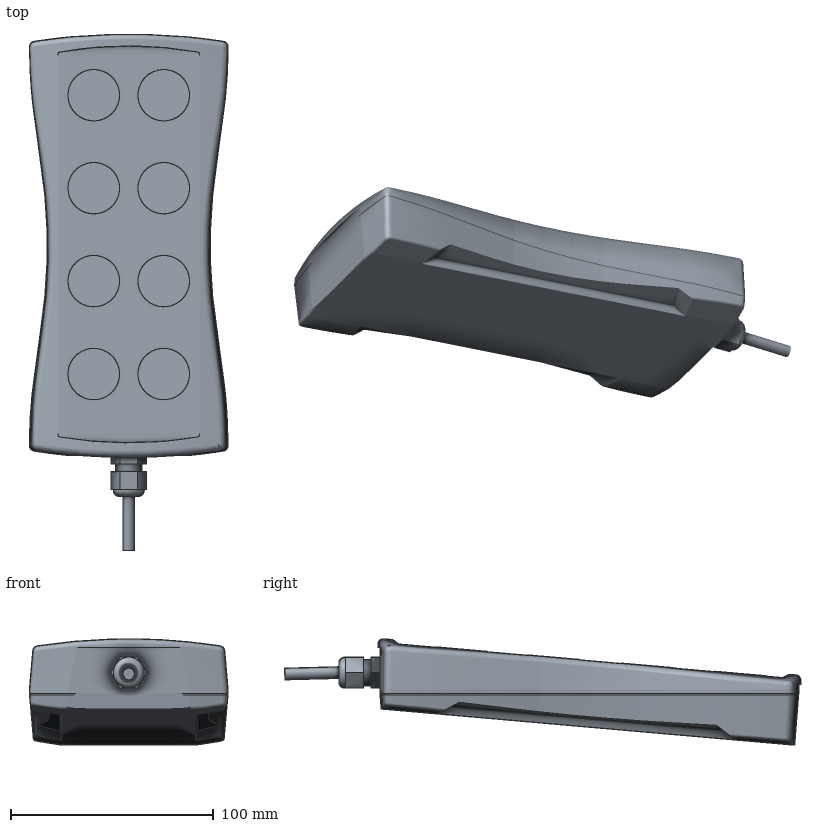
import cadquery as cq
import math

HALF_WIDTH = 49.01
WAIST_HALF_WIDTH = 40.2
WAIST_ARC_HALF_LENGTH = 25.0
WAIST_ARC_RISE = 1.2
FLARE_END_Y = 97.0
REACH = 130.0
END_RADIUS = 300.0
FRONT_APEX_Y = -104.8
REAR_APEX_Y = 104.55
CORNER_RADIUS = 3.0

SIDE_DRAFT = 5.0
UPPER_END_DRAFT = 1.3
LOWER_END_DRAFT = 4.5
BAND_HEIGHT = 2.0
SHELL_REACH = 40.0
TILT = 5.0
CROWN_HEIGHT = 18.05
CROWN_RADIUS = 320.0
FLOOR_DEPTH = 16.6
FLOOR_HALF_WIDTH = 34.0
FLOOR_EDGE_RISE = 2.2
CROWN_EDGE_RADIUS = 2.8
FLOOR_EDGE_RADIUS = 1.4
FACES_DOWN = -0.9
JOINT_GAP = 0.8
JOINT_DEPTH = 0.4

FRONT_FLAT_Y = -103.25
FRONT_FLAT_TOP = 22.6
REAR_FLAT_Y = 103.3
REAR_FLAT_TOP = 4.5

PANEL_HALF_WIDTH = 35.0
PANEL_HALF_LENGTH = 95.1
PANEL_BOW = 3.1
PANEL_CENTRE_Y = -0.7
PANEL_CORNER_RADIUS = 1.5
BUTTON_DIAMETER = 25.4
BUTTON_HEIGHT = 0.2
BUTTON_COLUMNS = 2
BUTTON_ROWS = 4
BUTTON_PITCH_X = 34.5
BUTTON_PITCH_Y = 46.0
BUTTON_CENTRE_Y = 4.2

RECESS_TOP_HALF_LENGTH = 62.6
RECESS_FOOT_HALF_LENGTH = 73.5
RECESS_INNER_X = 33.0
RECESS_WALL_LEAN = 0.8
RECESS_WALL_HEIGHT = 4.0
RECESS_OUTER_HEIGHT = 7.3

GLAND_Z = 10.3
GLAND_EMBED = 1.0
HEX_FLATS = 15.3
FLANGE_END_Y = -107.6
NECK_DIAMETER = 13.0
NUT_START_Y = -111.3
NUT_HEX_END_Y = -120.1
NUT_END_Y = -123.5
NUT_CAP_RADIUS = 3.0
CABLE_DIAMETER = 5.8
CABLE_END_Y = -150.18
CABLE_DROOP = 1.5


def sloped(body):
    """Turn a body built square to the axes into the slope of the case."""
    return body.rotate((0, 0, 0), (1, 0, 0), -TILT)


def side_outline(inset=0.0):
    """Waisted sides, run straight past both ends."""
    waist = WAIST_HALF_WIDTH - inset
    arc_x = waist + WAIST_ARC_RISE
    end_x = HALF_WIDTH - inset
    arc_y = WAIST_ARC_HALF_LENGTH
    arc_angle = 2 * math.atan2(WAIST_ARC_RISE, arc_y)
    lean = (math.sin(arc_angle), math.cos(arc_angle))
    return (
        cq.Workplane("XY")
        .moveTo(end_x, -REACH)
        .lineTo(end_x, -FLARE_END_Y)
        .spline([(arc_x, -arc_y)], tangents=[(0, 1), (-lean[0], lean[1])], includeCurrent=True)
        .threePointArc((waist, 0), (arc_x, arc_y))
        .spline([(end_x, FLARE_END_Y)], tangents=[lean, (0, 1)], includeCurrent=True)
        .lineTo(end_x, REACH)
        .lineTo(-end_x, REACH)
        .lineTo(-end_x, FLARE_END_Y)
        .spline([(-arc_x, arc_y)], tangents=[(0, -1), (lean[0], -lean[1])], includeCurrent=True)
        .threePointArc((-waist, 0), (-arc_x, -arc_y))
        .spline([(-end_x, -FLARE_END_Y)], tangents=[(-lean[0], -lean[1]), (0, -1)], includeCurrent=True)
        .lineTo(-end_x, -REACH)
        .close()
    )


def end_outline(inset=0.0):
    """Bowed ends, run straight past both sides."""
    front_y = FRONT_APEX_Y + inset
    rear_y = REAR_APEX_Y - inset
    bow = END_RADIUS - math.sqrt(END_RADIUS**2 - REACH**2)
    return (
        cq.Workplane("XY")
        .moveTo(-REACH, front_y + bow)
        .threePointArc((0, front_y), (REACH, front_y + bow))
        .lineTo(REACH, rear_y - bow)
        .threePointArc((0, rear_y), (-REACH, rear_y - bow))
        .close()
    )


def slab(height, inset=0.0):
    """Upright slice of the plan outline."""
    return side_outline(inset).extrude(height).intersect(end_outline(inset).extrude(height))


def drafted_sides(base_z, top_z):
    """Waisted sides leaning inwards from base_z to top_z."""
    inset = abs(top_z - base_z) * math.tan(math.radians(SIDE_DRAFT))
    base = side_outline().val().translate(cq.Vector(0, 0, base_z))
    top = side_outline(inset).val().translate(cq.Vector(0, 0, top_z))
    return cq.Workplane(cq.Solid.makeLoft([base, top], True))


def round_corners(body):
    """Round the four upright corners where the sides meet the ends."""
    corner_edges = [
        edge
        for edge in body.edges().vals()
        if edge.BoundingBox().zlen > BAND_HEIGHT / 2 and abs(edge.Center().y) > FLARE_END_Y
    ]
    return body.newObject(corner_edges).fillet(CORNER_RADIUS)


def case_envelope():
    """Crowned top and flat bottom with lifted edges, as one long sloped bar."""
    crown_drop = CROWN_RADIUS - math.sqrt(CROWN_RADIUS**2 - HALF_WIDTH**2)
    shoulder_z = CROWN_HEIGHT - crown_drop
    bar = (
        cq.Workplane("XZ", origin=(0, REACH, 0))
        .moveTo(-FLOOR_HALF_WIDTH, -FLOOR_DEPTH)
        .lineTo(FLOOR_HALF_WIDTH, -FLOOR_DEPTH)
        .lineTo(HALF_WIDTH, -FLOOR_DEPTH + FLOOR_EDGE_RISE)
        .lineTo(HALF_WIDTH, shoulder_z)
        .threePointArc((0, CROWN_HEIGHT), (-HALF_WIDTH, shoulder_z))
        .lineTo(-HALF_WIDTH, -FLOOR_DEPTH + FLOOR_EDGE_RISE)
        .close()
        .extrude(2 * REACH)
    )
    return sloped(bar)


def end_flat(flat_y, top_z, outward):
    """Flat cut across a bowed end: upright above the joint, drafted below it."""
    run_in = SHELL_REACH * math.tan(math.radians(LOWER_END_DRAFT))
    return (
        cq.Workplane("YZ", origin=(-HALF_WIDTH, 0, 0))
        .moveTo(flat_y, top_z)
        .lineTo(flat_y, 0)
        .lineTo(flat_y - outward * run_in, -SHELL_REACH)
        .lineTo(outward * REACH, -SHELL_REACH)
        .lineTo(outward * REACH, top_z)
        .close()
        .extrude(2 * HALF_WIDTH)
    )


def cut_end_flats(body):
    body = body.cut(end_flat(FRONT_FLAT_Y, FRONT_FLAT_TOP, -1))
    return body.cut(end_flat(REAR_FLAT_Y, REAR_FLAT_TOP, 1))


def upper_shell():
    band = side_outline().extrude(BAND_HEIGHT)
    sides = band.union(drafted_sides(BAND_HEIGHT, SHELL_REACH))
    ends = end_outline().extrude(SHELL_REACH, taper=UPPER_END_DRAFT)
    body = round_corners(sides.intersect(ends)).intersect(case_envelope())
    return body.faces(">Z").edges().fillet(CROWN_EDGE_RADIUS)


def lower_shell():
    sides = drafted_sides(0, -SHELL_REACH)
    ends = end_outline().extrude(-SHELL_REACH, taper=LOWER_END_DRAFT)
    body = round_corners(sides.intersect(ends)).intersect(case_envelope())
    floor_faces = [face for face in body.faces().vals() if face.normalAt(face.Center()).z < FACES_DOWN]
    floor_edges = [edge for face in floor_faces for edge in face.Edges()]
    rim_edges = [edge for edge in floor_edges if sum(edge.isSame(other) for other in floor_edges) == 1]
    return body.newObject(rim_edges).fillet(FLOOR_EDGE_RADIUS)


def joint_groove():
    """Thin ring cut into the wall just below the joint."""
    ring = cq.Workplane("XY").rect(2 * REACH, 2 * REACH).extrude(-JOINT_GAP)
    return ring.cut(slab(-JOINT_GAP, JOINT_DEPTH))


def keypad_recess():
    """Flat bed whose long sides run out where the crown falls to the bed."""
    bed_z = CROWN_HEIGHT - CROWN_RADIUS + math.sqrt(CROWN_RADIUS**2 - PANEL_HALF_WIDTH**2)
    recess = (
        cq.Workplane("XY", origin=(0, PANEL_CENTRE_Y, bed_z))
        .moveTo(PANEL_HALF_WIDTH, -PANEL_HALF_LENGTH)
        .lineTo(PANEL_HALF_WIDTH, PANEL_HALF_LENGTH)
        .threePointArc((0, PANEL_HALF_LENGTH + PANEL_BOW), (-PANEL_HALF_WIDTH, PANEL_HALF_LENGTH))
        .lineTo(-PANEL_HALF_WIDTH, -PANEL_HALF_LENGTH)
        .threePointArc((0, -PANEL_HALF_LENGTH - PANEL_BOW), (PANEL_HALF_WIDTH, -PANEL_HALF_LENGTH))
        .close()
        .extrude(CROWN_HEIGHT)
        .edges("|Z")
        .fillet(PANEL_CORNER_RADIUS)
    )
    buttons = (
        cq.Workplane("XY", origin=(0, BUTTON_CENTRE_Y, bed_z))
        .rarray(BUTTON_PITCH_X, BUTTON_PITCH_Y, BUTTON_COLUMNS, BUTTON_ROWS)
        .circle(BUTTON_DIAMETER / 2)
        .extrude(BUTTON_HEIGHT)
    )
    return sloped(recess.cut(buttons))


def finger_recess(side):
    """Notch along one lower edge (side = 1 or -1) with a sloping ledge, ramped at both ends."""
    outer_z = RECESS_OUTER_HEIGHT - FLOOR_DEPTH
    length = (
        cq.Workplane("YZ", origin=(-HALF_WIDTH, 0, 0))
        .moveTo(-RECESS_TOP_HALF_LENGTH, outer_z)
        .lineTo(RECESS_TOP_HALF_LENGTH, outer_z)
        .lineTo(RECESS_FOOT_HALF_LENGTH, -FLOOR_DEPTH)
        .lineTo(-RECESS_FOOT_HALF_LENGTH, -FLOOR_DEPTH)
        .close()
        .extrude(2 * HALF_WIDTH)
    )
    section = (
        cq.Workplane("XZ", origin=(0, REACH, 0))
        .moveTo(side * RECESS_INNER_X, -FLOOR_DEPTH)
        .lineTo(side * (RECESS_INNER_X + RECESS_WALL_LEAN), RECESS_WALL_HEIGHT - FLOOR_DEPTH)
        .lineTo(side * HALF_WIDTH, outer_z)
        .lineTo(side * HALF_WIDTH, -FLOOR_DEPTH)
        .close()
        .extrude(2 * REACH)
    )
    return sloped(length.intersect(section))


def gland_stage(start_y, end_y):
    """Sketch plane facing -Y on the gland axis, and the stage length."""
    return cq.Workplane("XZ", origin=(0, start_y, GLAND_Z)), start_y - end_y


def cable_gland():
    hex_corners = HEX_FLATS / math.cos(math.pi / 6)
    plane, length = gland_stage(FRONT_FLAT_Y + GLAND_EMBED, FLANGE_END_Y)
    flange = plane.polygon(6, hex_corners).extrude(length)
    plane, length = gland_stage(FLANGE_END_Y, NUT_START_Y)
    neck = plane.circle(NECK_DIAMETER / 2).extrude(length)
    plane, length = gland_stage(NUT_START_Y, NUT_HEX_END_Y)
    nut = plane.polygon(6, hex_corners).extrude(length)
    plane, length = gland_stage(NUT_HEX_END_Y, NUT_END_Y)
    cap = plane.circle(HEX_FLATS / 2).extrude(length).faces("<Y").edges().fillet(NUT_CAP_RADIUS)
    return flange.union(neck).union(nut).union(cap)


def cable():
    """Cable that droops slightly from the nut."""
    plane, length = gland_stage(NUT_HEX_END_Y, CABLE_END_Y)
    straight = plane.circle(CABLE_DIAMETER / 2).extrude(length)
    return straight.rotate((0, NUT_END_Y, GLAND_Z), (1, NUT_END_Y, GLAND_Z), CABLE_DROOP)


def make_case():
    lower = lower_shell().cut(joint_groove())
    case = cut_end_flats(upper_shell().union(lower))
    for side in (1, -1):
        case = case.cut(finger_recess(side))
    return case.cut(keypad_recess())


result = make_case().union(cable_gland()).union(cable())